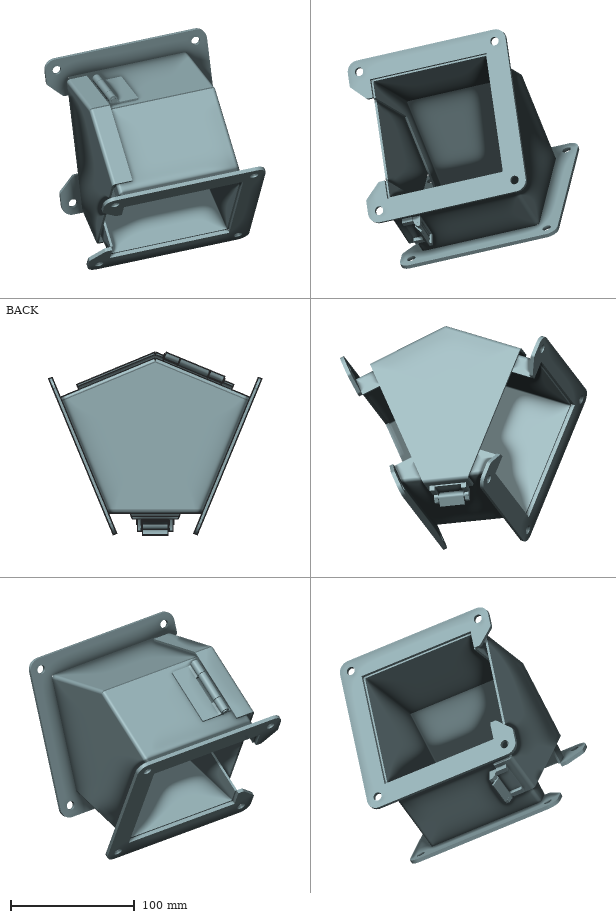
import cadquery as cq
import math


leg_tilt = 22.5
overall_width = 172.4
sheet = 1.9
bend_radius = 3.0
slit_web = 0.2
duct_half = 50.9
window_half = 35.0

flange_half = 68.3
flange_thickness = 3.1
flange_corner = 9.0
flange_opening_half = 50.3
flange_hole_spacing = 58.6
flange_hole_diameter = 7.0
ear_drop = 12.8
ear_corner = 2.5

cover_clearance = 2.5
cover_reach = 45.9
cover_lip_depth = 17.0

hinge_length = 51.0
hinge_center = 11.0
hinge_axis_y = -32.5
hinge_axis_rise = 4.1
knuckle_diameter = 7.0
knuckle_bore = 4.1
hinge_pin_diameter = 4.0
hinge_pin_overhang = 0.9
leaf_thickness = 1.5
leaf_reach = 20.5
cover_leaf_reach = 19.7
leaf_setback = 5.0
cover_leaf_setback = 4.0
ramp_rise = 0.9
knuckle_gap = 0.5

latch_axis_y = -35.5
latch_axis_drop = 6.2
latch_pin_diameter = 3.1
bracket_width = 30.3
bracket_front = -47.4
bracket_back = -31.9
bracket_plate = 1.0
flank_back = -38.3
flank_drop = 4.3
cheek_width = 29.0
cheek_gap = 22.4
cheek_nose_y = -37.2
cheek_nose_drop = 6.4
cheek_drop = 10.0
lever_width = 20.7
lever_eye = 4.8
lever_sheet = 1.5
grip_angle = 52.6
grip_length = 7.0
tongue_angle = 45.0
tongue_length = 4.3

tilt_sin = math.sin(math.radians(leg_tilt))
tilt_cos = math.cos(math.radians(leg_tilt))
flange_face = (overall_width / 2 - flange_half * tilt_sin) / tilt_cos
duct_end = flange_face - flange_thickness
floor_z = -duct_end * tilt_sin - duct_half * tilt_cos
cover_offset = cover_clearance + sheet
cover_half = duct_half + cover_offset
cover_floor_z = floor_z - cover_offset
beyond = 34.5


def leg_point(along, across):
    """XZ point on the left leg: along its axis from the miter, and across it upward."""
    return (-along * tilt_cos - across * tilt_sin, -along * tilt_sin + across * tilt_cos)


def mirrored(left_points):
    """Close a left half outline with its mirror image, sharing points on the middle plane."""
    right = [(-x, z) for x, z in reversed(left_points) if x != 0]
    return left_points + right


def prism(points, y_front, y_back):
    plane = cq.Workplane("XZ", origin=(0, y_back, 0))
    return plane.polyline(points).close().extrude(y_back - y_front)


def onto_leg(body):
    """Turn a body built on a level leg along -X onto the sloping left leg."""
    return body.rotate((0, 0, 0), (0, 1, 0), -leg_tilt)


def bend_edges(body, faces, radius):
    """Round the bends along the sloping tops and the floor; side edges stay sharp."""
    picked = []
    for edge in body.faces(faces).edges().vals():
        direction = edge.tangentAt(0.5)
        if abs(direction.x) > abs(direction.z):
            picked.append(edge)
    return body.newObject(picked).fillet(radius)


def miter_slit(half, y_front, y_back):
    """V gap at the ridge, left between the square-cut ends of the two top sheets."""
    root = (half - sheet) / tilt_cos + slit_web
    arm = 2 * sheet
    points = [(0, root), (-arm * tilt_sin, root + arm * tilt_cos), (arm * tilt_sin, root + arm * tilt_cos)]
    return prism(points, y_front, y_back)


def make_housing():
    apex = (0, duct_half / tilt_cos)
    outline = [apex, leg_point(duct_end, duct_half), leg_point(duct_end, -duct_half)]
    shell = prism(mirrored(outline), -duct_half, duct_half)
    shell = bend_edges(shell, "<Y or >Y", bend_radius)

    inner = duct_half - sheet
    far_top = leg_point(duct_end + beyond, inner)
    cavity_outline = [(0, inner / tilt_cos), far_top, (far_top[0], floor_z + sheet)]
    cavity = prism(mirrored(cavity_outline), -inner, inner)
    cavity = bend_edges(cavity, "<Y or >Y", bend_radius - sheet)

    window_outline = [
        (0, window_half / tilt_cos),
        leg_point(duct_end + beyond, window_half),
        leg_point(duct_end + beyond, -window_half),
        (0, -window_half / tilt_cos),
    ]
    window = prism(mirrored(window_outline), -duct_half, 0)
    slit = miter_slit(duct_half, -duct_half, duct_half)
    return shell.cut(cavity).cut(window).cut(slit)


def make_left_flange():
    side = 2 * flange_half
    ear_front = flange_half - ear_drop
    plate = (
        cq.Workplane("YZ", origin=(-flange_face, 0, 0))
        .rect(side, side)
        .extrude(flange_thickness)
        .edges("|X")
        .fillet(flange_corner)
    )
    opening_side = 2 * flange_opening_half
    opening = (
        cq.Workplane("YZ", origin=(-flange_face, 0, 0))
        .rect(opening_side, opening_side)
        .extrude(flange_thickness)
    )
    gap_outline = [(0, window_half), (-ear_front, window_half), (-flange_half, window_half + ear_drop)]
    gap_outline += [(y, -z) for y, z in reversed(gap_outline)]
    gap = (
        cq.Workplane("YZ", origin=(-flange_face, 0, 0))
        .polyline(gap_outline)
        .close()
        .extrude(flange_thickness)
    )
    spacing = 2 * flange_hole_spacing
    holes = (
        cq.Workplane("YZ", origin=(-flange_face, 0, 0))
        .rect(spacing, spacing, forConstruction=True)
        .vertices()
        .circle(flange_hole_diameter / 2)
        .extrude(flange_thickness)
    )
    plate = plate.cut(opening).cut(gap).cut(holes)
    corners = []
    for y, z in gap_outline[1:3]:
        for height in (z, -z):
            corner = (-flange_face + flange_thickness / 2, y, height)
            nearest = cq.selectors.NearestToPointSelector(corner)
            corners.append(plate.edges(nearest).val())
    plate = plate.newObject(corners).fillet(ear_corner)
    return onto_leg(plate)


def cover_outline(half, reach, bottom_z):
    bottom_x = -(reach + bottom_z * tilt_sin) / tilt_cos
    return mirrored([(0, half / tilt_cos), leg_point(reach, half), (bottom_x, bottom_z)])


def make_cover():
    lip_back = -cover_half + cover_lip_depth
    outline = cover_outline(cover_half, cover_reach, cover_floor_z)
    shell = bend_edges(prism(outline, -cover_half, lip_back), "<Y", bend_radius)
    inner_outline = cover_outline(cover_half - sheet, cover_reach + beyond, cover_floor_z + sheet)
    cavity = prism(inner_outline, -cover_half + sheet, lip_back)
    cavity = bend_edges(cavity, "<Y", bend_radius - sheet)
    slit = miter_slit(cover_half, -cover_half, lip_back)
    return shell.cut(cavity).cut(slit)


hinge_axis_z = duct_half + hinge_axis_rise
hinge_start = -hinge_center - hinge_length / 2
middle_knuckle = hinge_length / 2
end_knuckle = (hinge_length - middle_knuckle) / 2 - knuckle_gap


def hinge_bar(diameter, start, length):
    plane = cq.Workplane("YZ", origin=(start, hinge_axis_y, hinge_axis_z))
    return plane.circle(diameter / 2).extrude(length)


def hinge_plate(start, length, y_from, y_to, bottom):
    origin = (start, min(y_from, y_to), bottom)
    return cq.Workplane(origin=origin).box(length, abs(y_to - y_from), leaf_thickness, centered=False)


def knuckle_ramp(start, length):
    """Sloping bend that lifts the housing leaf toward a knuckle."""
    leaf_top = duct_half + leaf_thickness
    edge_y = hinge_axis_y + leaf_setback
    outline = [
        (edge_y, duct_half),
        (edge_y, leaf_top),
        (hinge_axis_y + knuckle_diameter / 2, leaf_top + ramp_rise),
        (hinge_axis_y, leaf_top + ramp_rise),
        (hinge_axis_y, duct_half),
    ]
    return cq.Workplane("YZ", origin=(start, 0, 0)).polyline(outline).close().extrude(length)


def make_leaf(side, setback, reach, bottom, knuckles, ramped=False):
    """Leaf lying on one side (+1 or -1 along Y) of the hinge axis, carrying the given knuckles."""
    y_edge = hinge_axis_y + side * setback
    leaf = hinge_plate(hinge_start, hinge_length, y_edge, hinge_axis_y + side * reach, bottom)
    for start, length in knuckles:
        leaf = leaf.union(hinge_plate(start, length, hinge_axis_y, y_edge, bottom))
        leaf = leaf.union(hinge_bar(knuckle_diameter, start, length))
        if ramped:
            leaf = leaf.union(knuckle_ramp(start, length))
    leaf = leaf.cut(hinge_bar(knuckle_bore, hinge_start, hinge_length))
    return onto_leg(leaf)


def make_housing_leaf():
    last_start = hinge_start + hinge_length - end_knuckle
    knuckles = [(hinge_start, end_knuckle), (last_start, end_knuckle)]
    return make_leaf(1, leaf_setback, leaf_reach, duct_half, knuckles, ramped=True)


def make_cover_leaf():
    knuckles = [(hinge_start + end_knuckle + knuckle_gap, middle_knuckle)]
    bottom = cover_half - sheet - leaf_thickness
    return make_leaf(-1, cover_leaf_setback, cover_leaf_reach, bottom, knuckles)


def make_hinge_pin():
    length = hinge_length + 2 * hinge_pin_overhang
    return onto_leg(hinge_bar(hinge_pin_diameter, hinge_start - hinge_pin_overhang, length))


latch_axis_z = cover_floor_z - latch_axis_drop


def latch_block(width, height, y_back):
    """Block centered on X that hangs from the cover's bottom lip, behind the bracket front."""
    length = y_back - bracket_front
    origin = (0, (bracket_front + y_back) / 2, cover_floor_z - height / 2)
    return cq.Workplane(origin=origin).box(width, length, height)


def latch_bar(diameter, length):
    plane = cq.Workplane("YZ", origin=(-length / 2, latch_axis_y, latch_axis_z))
    return plane.circle(diameter / 2).extrude(length)


def make_bracket():
    flank_bottom = cover_floor_z - flank_drop
    cheek_bottom = cover_floor_z - cheek_drop
    cheek_rise = cheek_drop - cheek_nose_drop
    cheek_outline = [
        (bracket_front, cover_floor_z),
        (bracket_back, cover_floor_z),
        (bracket_back, cheek_bottom),
        (cheek_nose_y + cheek_rise / math.tan(math.radians(grip_angle)), cheek_bottom),
        (cheek_nose_y, cover_floor_z - cheek_nose_drop),
        (cheek_nose_y, flank_bottom),
        (bracket_front, flank_bottom),
    ]
    cheeks = (
        cq.Workplane("YZ", origin=(-cheek_width / 2, 0, 0))
        .polyline(cheek_outline)
        .close()
        .extrude(cheek_width)
    )
    flanks = latch_block(bracket_width, flank_drop, flank_back)
    channel = latch_block(cheek_gap, cheek_drop, bracket_back).translate((0, 0, -bracket_plate))
    return cheeks.union(flanks).cut(channel).cut(latch_bar(latch_pin_diameter, cheek_width))


def lever_arm(length, angle, side):
    """Sheet arm tangent to the eye on its upper (+1) or lower (-1) side, turned by the angle."""
    offset = side * (lever_eye - lever_sheet) / 2
    arm = cq.Workplane(origin=(0, length / 2, offset)).box(lever_width, length, lever_sheet)
    return arm.rotate((0, 0, 0), (1, 0, 0), angle).translate((0, latch_axis_y, latch_axis_z))


def make_lever():
    eye = latch_bar(lever_eye, lever_width)
    tongue = lever_arm(tongue_length, tongue_angle, 1)
    grip = lever_arm(grip_length, -grip_angle, -1)
    return eye.union(tongue).union(grip).cut(latch_bar(latch_pin_diameter, lever_width))


def make_latch_pin():
    return latch_bar(latch_pin_diameter, cheek_width)


housing = make_housing()
left_flange = make_left_flange()
right_flange = left_flange.mirror("YZ")
cover = make_cover()
result = cq.Compound.makeCompound([
    housing.val(),
    left_flange.val(),
    right_flange.val(),
    cover.val(),
    make_housing_leaf().val(),
    make_cover_leaf().val(),
    make_hinge_pin().val(),
    make_bracket().val(),
    make_lever().val(),
    make_latch_pin().val(),
])